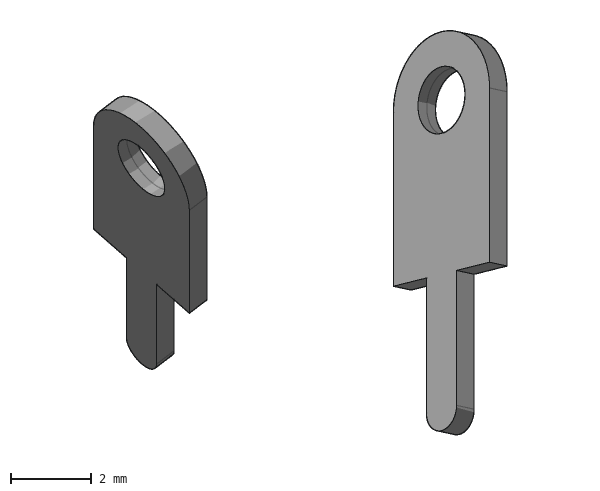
import cadquery as cq

total_height = 10.2
thickness = 0.6
plate_width = 3.5

hole_diameter = 1.7
pin_length = 4.0
pin_width = 1.1

plate_radius = plate_width / 2
pin_radius = pin_width / 2
eye_height = total_height - plate_radius

outline = (
    cq.Workplane("XZ")
    .moveTo(-pin_radius, pin_radius)
    .threePointArc((0, 0), (pin_radius, pin_radius))
    .lineTo(pin_radius, pin_length)
    .lineTo(plate_radius, pin_length)
    .lineTo(plate_radius, eye_height)
    .threePointArc((0, total_height), (-plate_radius, eye_height))
    .lineTo(-plate_radius, pin_length)
    .lineTo(-pin_radius, pin_length)
    .close()
)
terminal = outline.extrude(thickness / 2, both=True)

eye_hole = (
    cq.Workplane("XZ")
    .center(0, eye_height)
    .circle(hole_diameter / 2)
    .extrude(thickness, both=True)
)

result = terminal.cut(eye_hole)